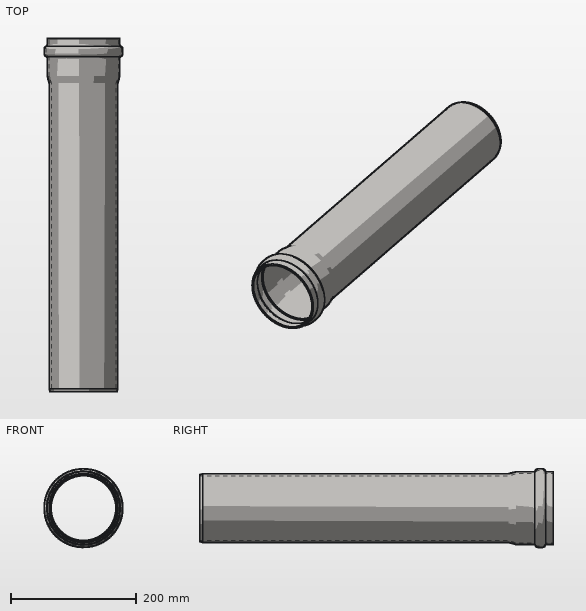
import cadquery as cq
import math

length = 564.0
pipe_outer_radius = 110.0 / 2
pipe_inner_radius = 103.0 / 2
socket_outer_radius = 116.0 / 2
socket_inner_radius = 110.5 / 2
bead_outer_radius = 126.0 / 2
bead_inner_radius = 120.5 / 2

bead_foot_rise = 0.5

bevel_length = 5.0
bevel_depth = 1.5

bead_center = 21.0
bead_crest_length = 7.0
bead_crest_arc = 5.0
bead_foot_arc = 3.5
socket_depth = 60.0
taper_length = 12.0

spigot_end = -length / 2
mouth = length / 2
socket_base = mouth - socket_depth
taper_end = socket_base - taper_length
bead_y = mouth - bead_center


def bead(profile, base_radius, crest_radius):
    """Add a bead toward +Y: each flank has a concave foot arc and a convex crest arc."""
    join_radius = base_radius + bead_foot_rise
    foot_turn = 2 * math.atan2(bead_foot_rise, bead_foot_arc)
    crest_turn = 2 * math.atan2(crest_radius - join_radius, bead_crest_arc)

    foot_curve = bead_foot_arc / math.sin(foot_turn)
    crest_curve = bead_crest_arc / math.sin(crest_turn)
    foot_mid_radius = base_radius + foot_curve * (1 - math.cos(foot_turn / 2))
    crest_mid_radius = crest_radius - crest_curve * (1 - math.cos(crest_turn / 2))

    crest_half = bead_crest_length / 2
    join = crest_half + bead_crest_arc
    foot = join + bead_foot_arc
    foot_mid = foot - foot_curve * math.sin(foot_turn / 2)
    crest_mid = crest_half + crest_curve * math.sin(crest_turn / 2)

    return (
        profile.lineTo(base_radius, bead_y - foot)
        .threePointArc((foot_mid_radius, bead_y - foot_mid), (join_radius, bead_y - join))
        .threePointArc((crest_mid_radius, bead_y - crest_mid), (crest_radius, bead_y - crest_half))
        .lineTo(crest_radius, bead_y + crest_half)
        .threePointArc((crest_mid_radius, bead_y + crest_mid), (join_radius, bead_y + join))
        .threePointArc((foot_mid_radius, bead_y + foot_mid), (base_radius, bead_y + foot))
    )


def revolve_profile(profile):
    """Close a profile along the Y axis and revolve it about that axis."""
    return profile.lineTo(0, mouth).close().revolve(360, (0, 0), (0, 1))


def outer_body():
    profile = (
        cq.Workplane("XY")
        .moveTo(0, spigot_end)
        .lineTo(pipe_outer_radius - bevel_depth, spigot_end)
        .lineTo(pipe_outer_radius, spigot_end + bevel_length)
        .lineTo(pipe_outer_radius, taper_end)
        .lineTo(socket_outer_radius, socket_base)
    )
    profile = bead(profile, socket_outer_radius, bead_outer_radius)
    return revolve_profile(profile.lineTo(socket_outer_radius, mouth))


def bore():
    profile = (
        cq.Workplane("XY")
        .moveTo(0, spigot_end)
        .lineTo(pipe_inner_radius, spigot_end)
        .lineTo(pipe_inner_radius, taper_end)
        .lineTo(socket_inner_radius, socket_base)
    )
    profile = bead(profile, socket_inner_radius, bead_inner_radius)
    return revolve_profile(profile.lineTo(socket_inner_radius, mouth))


result = outer_body().cut(bore())